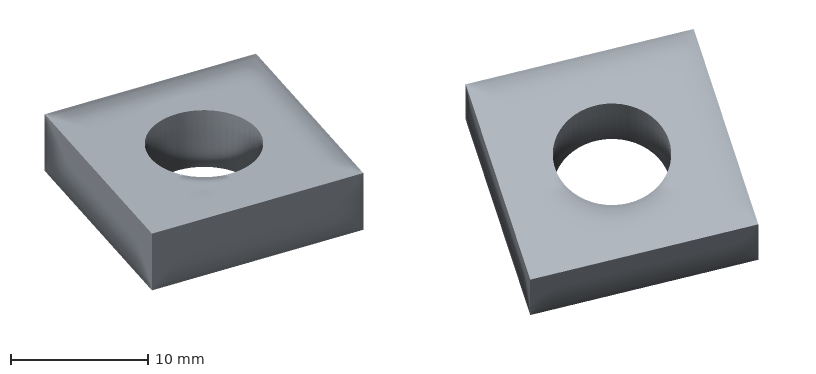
import cadquery as cq

side = 17.27
thickness = 5.0
hole_diameter = side / 2

plate = cq.Workplane("XY").box(side, side, thickness)
result = plate.faces(">Z").workplane().hole(hole_diameter)